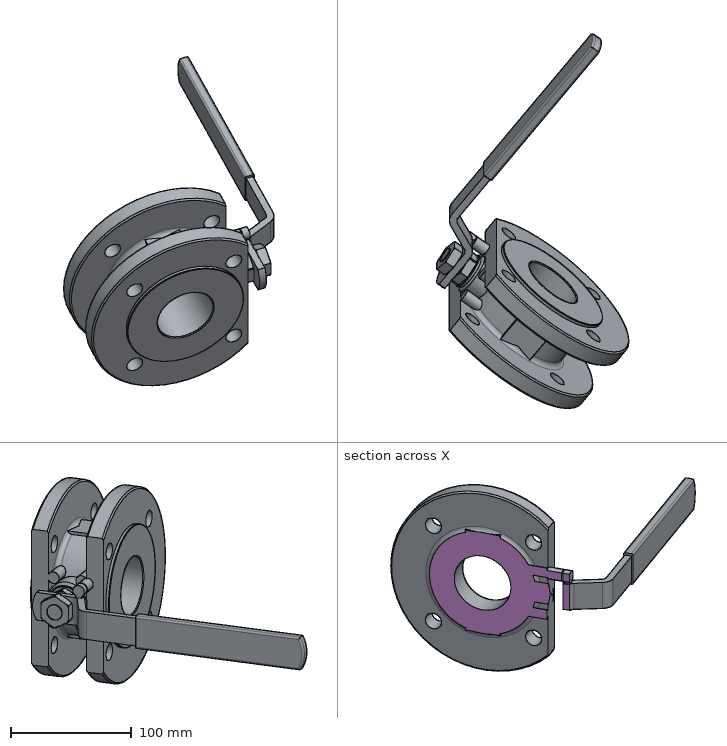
import cadquery as cq
import math


FLANGE_D = 164.7
FLANGE_THICKNESS = 15.5
FLANGE_GAP = 33.5
FLANGE_CHAMFER = 1.3
FACE_D = 103.7
FACE_HEIGHT = 3.0
FACE_CHAMFER = 0.5
BORE_D = 49.5
BORE_CHAMFER = 0.8
BOLT_HOLE_D = 14.0
BOLT_CIRCLE_R = 62.5
BOLT_COUNT = 4
FLAT_Y = 57.0
NECK_R = 46.5
NECK_FILLET = 4.3
PAD_WIDTH = 30.9

HOUSING_D = 35.0
HOUSING_SHOULDER_Y = 58.0
HOUSING_TOP_Y = 59.5
HOUSING_TOP_D = 29.3
LUG_D = 10.0
LUG_X = 12.5
LUG_Z = 19.5

SPRING_D = 29.3
WASHER_D = 31.5
WASHER_BOTTOM_Y = 62.0
WASHER_TOP_Y = 62.5
NUT_SIDES = 6
NUT_FLATS = 24.5
NUT_CHAMFER = 0.8
UPPER_NUT_HEIGHT = 8.5
LOWER_NUT_TOP_Y = 70.0
TAB_LENGTH = 26.3
TAB_WIDTH = 14.4
STUD_D = 13.3
STUD_PROJECTION = 0.8

LEVER_THICKNESS = 6.0
LEVER_WIDTH = 24.2
PLATE_BOTTOM_Y = 70.8
HUB_R = 23.1
ARM_BOTTOM_Y = 100.8
CRANK_LOW_X = -20.5
CRANK_HIGH_X = -34.0
BEND_INNER_R = 4.3
GRIP_END_X = -231.0
GRIP_START_X = -81.0
GRIP_WIDTH = 28.5
GRIP_THICKNESS = 8.5
GRIP_END_RISE = 3.7
GRIP_FILLET = 1.5
STOP_PIN_D = 10.0
STOP_PIN_OFFSET = 17.8
STOP_PIN_TOP_Y = 70.0
EAR_NECK_WIDTH = 5.3
EAR_NECK_OVERLAP = 0.5

HALF_GAP = FLANGE_GAP / 2
FLANGE_OUTER_X = HALF_GAP + FLANGE_THICKNESS
BODY_HALF_LENGTH = FLANGE_OUTER_X + FACE_HEIGHT
PLATE_TOP_Y = PLATE_BOTTOM_Y + LEVER_THICKNESS
UPPER_NUT_TOP_Y = PLATE_TOP_Y + UPPER_NUT_HEIGHT
ARM_TOP_Y = ARM_BOTTOM_Y + LEVER_THICKNESS
ARM_MID_Y = ARM_BOTTOM_Y + LEVER_THICKNESS / 2


def cylinder_x(diameter, x_start, x_end):
    return cq.Workplane("YZ", origin=(x_start, 0, 0)).circle(diameter / 2).extrude(x_end - x_start)


def section_y(y):
    """Workplane across the stem; local x is X and local y is Z, extruding towards -Y."""
    return cq.Workplane("XZ", origin=(0, y, 0))


def cylinder_y(diameter, y_start, y_end, x=0, z=0):
    return section_y(y_end).center(x, z).circle(diameter / 2).extrude(y_end - y_start)


def make_flange():
    """Flange on the +X side with its raised face."""
    flange = cylinder_x(FLANGE_D, HALF_GAP, FLANGE_OUTER_X).edges().chamfer(FLANGE_CHAMFER)
    face = cylinder_x(FACE_D, HALF_GAP, BODY_HALF_LENGTH).faces(">X").edges().chamfer(FACE_CHAMFER)
    flat_cut = section_y(FLANGE_D).rect(2 * FLANGE_D, 2 * FLANGE_D).extrude(FLANGE_D - FLAT_Y)
    return flange.union(face).cut(flat_cut)


def make_neck():
    """Turned neck that flares into both flanges."""
    flare_r = NECK_R + NECK_FILLET
    straight_x = HALF_GAP - NECK_FILLET
    arc_mid = NECK_FILLET * math.sqrt(0.5)
    return (
        cq.Workplane("XY")
        .moveTo(-HALF_GAP, 0)
        .lineTo(-HALF_GAP, flare_r)
        .threePointArc((-straight_x - arc_mid, flare_r - arc_mid), (-straight_x, NECK_R))
        .lineTo(straight_x, NECK_R)
        .threePointArc((straight_x + arc_mid, flare_r - arc_mid), (HALF_GAP, flare_r))
        .lineTo(HALF_GAP, 0)
        .close()
        .revolve(360, (0, 0, 0), (1, 0, 0))
    )


def make_housing():
    """Stem housing: a round column with four lugs and a conical top."""
    housing = cylinder_y(HOUSING_D, 0, HOUSING_SHOULDER_Y)
    for x in (-LUG_X, LUG_X):
        for z in (-LUG_Z, LUG_Z):
            housing = housing.union(cylinder_y(LUG_D, 0, FLAT_Y, x, z))
    cone = (
        section_y(HOUSING_SHOULDER_Y)
        .circle(HOUSING_D / 2)
        .workplane(offset=HOUSING_SHOULDER_Y - HOUSING_TOP_Y)
        .circle(HOUSING_TOP_D / 2)
        .loft()
    )
    return housing.union(cone)


def make_body():
    flange = make_flange()
    pads = cq.Workplane("XY").box(FLANGE_GAP, PAD_WIDTH, 2 * NECK_R)
    body = make_neck().union(pads).union(make_housing())
    body = body.union(flange).union(flange.mirror("YZ"))

    bore = cylinder_x(BORE_D, -BODY_HALF_LENGTH, BODY_HALF_LENGTH)
    body = body.cut(bore)
    for end in (">X", "<X"):
        bore_edge = body.faces(end).edges("%CIRCLE").edges(cq.selectors.RadiusNthSelector(0))
        body = bore_edge.chamfer(BORE_CHAMFER)

    bolt_holes = (
        cq.Workplane("YZ", origin=(-BODY_HALF_LENGTH, 0, 0))
        .polarArray(BOLT_CIRCLE_R, 180 / BOLT_COUNT, 360, BOLT_COUNT)
        .circle(BOLT_HOLE_D / 2)
        .extrude(2 * BODY_HALF_LENGTH)
    )
    return body.cut(bolt_holes)


def make_nut(y_start, y_end, chamfered_ends):
    """Hexagon nut with flats facing +X and -X and chamfered corners."""
    corner_d = NUT_FLATS / math.cos(math.pi / NUT_SIDES)
    hexagon = section_y(y_end).polygon(NUT_SIDES, corner_d).extrude(y_end - y_start)
    hexagon = hexagon.rotate((0, 0, 0), (0, 1, 0), 180 / NUT_SIDES)
    envelope = cylinder_y(corner_d, y_start, y_end).faces(chamfered_ends).edges().chamfer(NUT_CHAMFER)
    return hexagon.intersect(envelope)


def make_stem_stack():
    spring = cylinder_y(SPRING_D, HOUSING_TOP_Y, WASHER_BOTTOM_Y)
    washer = cylinder_y(WASHER_D, WASHER_BOTTOM_Y, WASHER_TOP_Y)
    tab = (
        section_y(LOWER_NUT_TOP_Y)
        .rect(TAB_LENGTH, TAB_WIDTH)
        .extrude(LOWER_NUT_TOP_Y - WASHER_TOP_Y)
    )
    lower_nut = make_nut(WASHER_TOP_Y, LOWER_NUT_TOP_Y, ">Y")
    upper_nut = make_nut(PLATE_TOP_Y, UPPER_NUT_TOP_Y, "<Y or >Y")
    stud = cylinder_y(STUD_D, WASHER_TOP_Y, UPPER_NUT_TOP_Y + STUD_PROJECTION)
    stack = spring
    for item in (washer, tab, lower_nut, upper_nut, stud):
        stack = stack.union(item)
    return stack


def make_lever_strip():
    """Cranked flat bar: plate on the stem, sloping crank and long arm."""
    slope = math.atan2(ARM_BOTTOM_Y - PLATE_BOTTOM_Y, CRANK_LOW_X - CRANK_HIGH_X)
    top_shift = LEVER_THICKNESS * math.tan(slope / 2)
    outer_r = BEND_INNER_R + LEVER_THICKNESS
    low = (CRANK_LOW_X, PLATE_BOTTOM_Y)
    high = (CRANK_HIGH_X, ARM_BOTTOM_Y)
    low_top = (CRANK_LOW_X + top_shift, PLATE_TOP_Y)
    high_top = (CRANK_HIGH_X + top_shift, ARM_TOP_Y)
    strip = (
        cq.Workplane("XY", origin=(0, 0, -LEVER_WIDTH / 2))
        .moveTo(HUB_R, PLATE_BOTTOM_Y)
        .lineTo(*low)
        .lineTo(*high)
        .lineTo(GRIP_START_X, ARM_BOTTOM_Y)
        .lineTo(GRIP_START_X, ARM_TOP_Y)
        .lineTo(*high_top)
        .lineTo(*low_top)
        .lineTo(HUB_R, PLATE_TOP_Y)
        .close()
        .extrude(LEVER_WIDTH)
    )
    outer_bends = [(low, outer_r), (high_top, outer_r)]
    inner_bends = [(high, BEND_INNER_R), (low_top, BEND_INNER_R)]
    for corner, radius in outer_bends + inner_bends:
        strip = strip.edges(cq.selectors.NearestToPointSelector((*corner, 0))).fillet(radius)

    hub_end = cylinder_y(2 * HUB_R, PLATE_BOTTOM_Y, PLATE_TOP_Y)
    beyond_stem = (
        section_y(PLATE_TOP_Y)
        .center(HUB_R, 0)
        .rect(2 * HUB_R, 2 * HUB_R)
        .extrude(LEVER_THICKNESS)
    )
    return strip.cut(beyond_stem.cut(hub_end))


def make_stop():
    """Stop pin standing on the body and the matching ear on the lever plate."""
    pin = cylinder_y(STOP_PIN_D, FLAT_Y, STOP_PIN_TOP_Y, -STOP_PIN_OFFSET, STOP_PIN_OFFSET)
    ear = cylinder_y(STOP_PIN_D, PLATE_BOTTOM_Y, PLATE_TOP_Y, -STOP_PIN_OFFSET, STOP_PIN_OFFSET)
    neck_start = LEVER_WIDTH / 2 - EAR_NECK_OVERLAP
    neck_length = STOP_PIN_OFFSET - neck_start
    ear_neck = (
        section_y(PLATE_TOP_Y)
        .center(-STOP_PIN_OFFSET, neck_start + neck_length / 2)
        .rect(EAR_NECK_WIDTH, neck_length)
        .extrude(LEVER_THICKNESS)
    )
    return pin, ear.union(ear_neck)


def make_grip():
    """Sleeve over the arm with a bulged free end and rounded edges."""
    corner_x = GRIP_END_X + GRIP_END_RISE
    half_width = GRIP_WIDTH / 2
    return (
        section_y(ARM_MID_Y + GRIP_THICKNESS / 2)
        .moveTo(GRIP_START_X, -half_width)
        .lineTo(corner_x, -half_width)
        .threePointArc((GRIP_END_X, 0), (corner_x, half_width))
        .lineTo(GRIP_START_X, half_width)
        .close()
        .extrude(GRIP_THICKNESS)
        .faces("<Y or >Y")
        .edges("not >X")
        .fillet(GRIP_FILLET)
    )


result = make_body()
for component in (make_stem_stack(), make_lever_strip(), *make_stop(), make_grip()):
    result = result.union(component)